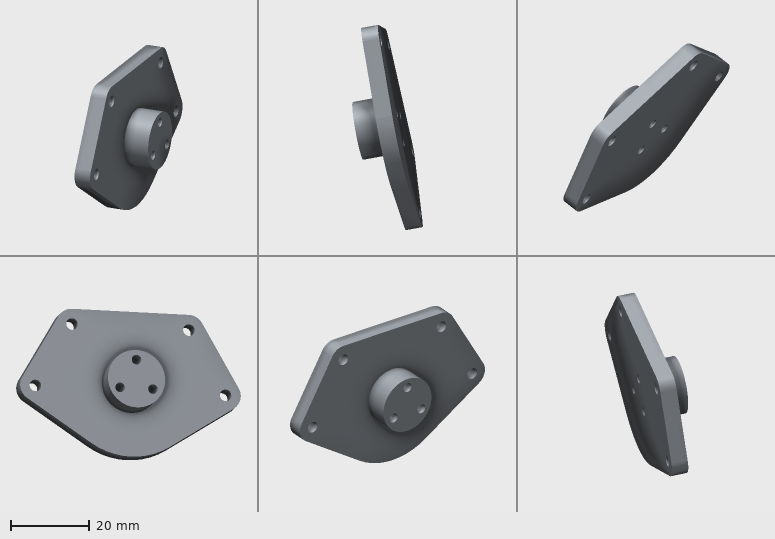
import cadquery as cq
import math

plate_thickness = 4.35
total_depth = 11.0
boss_diameter = 15.0
boss_hole_diameter = 2.5
boss_hole_circle_radius = 5.0
boss_hole_count = 3
mount_hole_diameter = 3.0
corner_radius = 4.0
plate_height = 37.95
plate_width = 58.0
upper_hole_y = 15.35
lower_hole_z = -1.6

upper_hole_z = plate_height / 2 - corner_radius
lower_hole_y = plate_width / 2 - corner_radius
lower_lobe_radius = plate_height / 2

mount_holes = [
    (upper_hole_y, upper_hole_z),
    (-upper_hole_y, upper_hole_z),
    (-lower_hole_y, lower_hole_z),
    (lower_hole_y, lower_hole_z),
]

corners = [(y, z, corner_radius) for y, z in mount_holes]
corners.insert(3, (0, 0, lower_lobe_radius))


def tangent_normal_angle(start, end):
    """Direction of the outward normal of the line touching two corner circles."""
    dy = end[0] - start[0]
    dz = end[1] - start[1]
    spread = math.acos((start[2] - end[2]) / math.hypot(dy, dz))
    return math.atan2(dz, dy) - spread


def point_on_corner(corner, angle):
    y, z, radius = corner
    return (y + radius * math.cos(angle), z + radius * math.sin(angle))


def make_plate():
    """Plate bounded by corner arcs joined with tangent lines."""
    outline = cq.Workplane("YZ")
    for index, corner in enumerate(corners):
        next_corner = corners[(index + 1) % len(corners)]
        arc_start = tangent_normal_angle(corners[index - 1], corner)
        arc_sweep = (tangent_normal_angle(corner, next_corner) - arc_start) % math.tau
        start_point = point_on_corner(corner, arc_start)
        if index == 0:
            outline = outline.moveTo(*start_point)
        else:
            outline = outline.lineTo(*start_point)
        outline = outline.threePointArc(
            point_on_corner(corner, arc_start + arc_sweep / 2),
            point_on_corner(corner, arc_start + arc_sweep),
        )
    return outline.close().extrude(plate_thickness)


def make_boss():
    return cq.Workplane("YZ").circle(boss_diameter / 2).extrude(total_depth)


def make_mount_holes():
    return (
        cq.Workplane("YZ")
        .pushPoints(mount_holes)
        .circle(mount_hole_diameter / 2)
        .extrude(plate_thickness)
    )


def make_boss_holes():
    """Holes through plate and boss, equally spaced with the first one at the top."""
    return (
        cq.Workplane("YZ")
        .polarArray(boss_hole_circle_radius, 90, 360, boss_hole_count)
        .circle(boss_hole_diameter / 2)
        .extrude(total_depth)
    )


result = make_plate().union(make_boss()).cut(make_mount_holes()).cut(make_boss_holes())